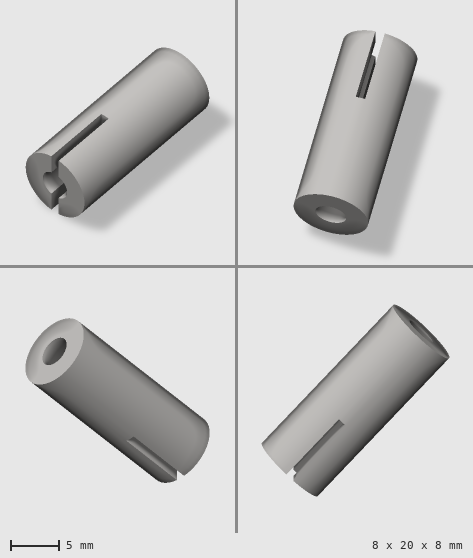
import cadquery as cq

length = 20.0
outer_diameter = 8.0
bore_diameter = 3.3
slot_width = 1.0
slot_depth = 8.0

front_y = -length / 2

tube = (
    cq.Workplane("XZ", origin=(0, front_y, 0))
    .circle(outer_diameter / 2)
    .circle(bore_diameter / 2)
    .extrude(-length)
)

slot = (
    cq.Workplane("XY", origin=(0, front_y + slot_depth / 2, 0))
    .box(slot_width, slot_depth, outer_diameter)
)

result = tube.cut(slot)